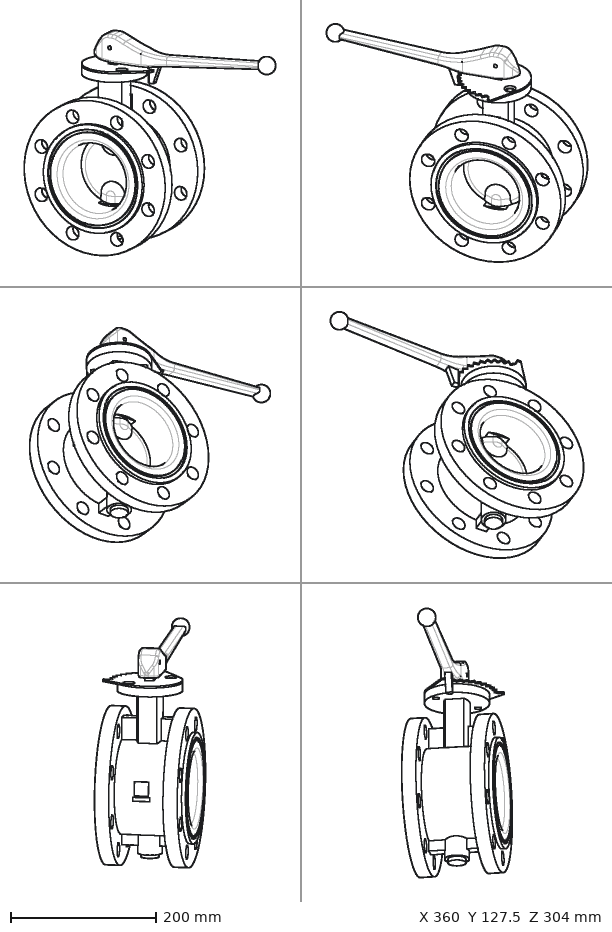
import cadquery as cq
import math


face_to_face = 127.0
half_length = face_to_face / 2
flange_dia = 220.0
flange_thickness = 20.0
raised_face_dia = 154.0
raised_face_height = 5.5
bolt_circle_dia = 180.0
bolt_hole_dia = 19.0
bolt_count = 8
barrel_radius = 67.0
bore_radius = 50.0
bore_lip_radius = 6.0
groove_outer_dia = 140.0
groove_inner_dia = 132.0
groove_depth = 3.0

flange_outer_y = half_length - raised_face_height
flange_inner_y = flange_outer_y - flange_thickness

neck_length_x = 37.0
neck_flat_width = 26.0
neck_bulge_y = 18.0
rib_width = 16.0
upper_rib_top = 97.5
lower_rib_bottom = -81.5
bearing_dia = 34.0
bearing_bottom = -93.0
bearing_cap_dia = 25.0
bearing_cap_bottom = -98.5

mount_dia = 90.0
mount_bottom = 135.0
mount_top = 147.5
plate_thickness = 2.5
plate_top = mount_top + plate_thickness
tooth_tip_radius = 57.0
tooth_root_radius = 52.0
tooth_pitch = 10.0
tooth_count = 9
plate_back_angle = 225.0
stop_reach = 64.0
stop_tip_inset = 10.0
screw_offset = 25.0
screw_hole_dia = 9.0
sink_top_dia = 16.0
sink_bottom_dia = 12.0

disc_face_radius = 43.5
disc_face_y = 4.0
disc_rim_y = 3.0
hub_foot = 25.0
hub_nose_radius = 13.0
upper_hub_center = 38.3
lower_hub_center = 36.3
hub_end_z = 47.4
seat_pad_half = 16.5

pad_height = 1.3
square_pad_width = 20.0
square_pad_bottom = 0.0
square_pad_top = 19.5
bar_pad_width = 24.0
bar_pad_bottom = -7.5
bar_pad_top = -2.0

lever_top = 194.0
lever_bottom = 153.5
head_half_width = 14.0
grip_half_width = 9.0
head_round = 14.0
head_slope = 55.0
head_flat_half = 3.3
crown_round = 17.0
crown_slope = 24.0
crown_end_x = 22.8
taper_start_x = 48.5
grip_start_x = 85.7
grip_start_top = 171.6
grip_start_bottom = 157.2
belly_start_x = 52.0
nose_x = -32.8
nose_bottom = 158.6
side_round = 15.0
side_round_start = -12.4
nose_angle = 45.0
edge_fillet = 4.0
ball_dia = 25.0
ball_x = 237.5
ball_z = 177.2
grip_end_half_height = 4.5
pin_dia = 5.0
pin_z = 175.4
stem_side = 12.0
pawl_bottom = 129.5
pawl_width = 9.0
pawl_nose_x = 52.5
pawl_body_x = 57.0
pawl_tip_x = 62.5
pawl_root_x = 72.5
pawl_root_z = 158.0
stem_overlap = 6.0


def y_cylinder(diameter, y_start, y_end):
    """Cylinder on the flow axis between two Y positions."""
    plane = cq.Workplane("XZ", origin=(0, y_start, 0))
    return plane.circle(diameter / 2).extrude(y_start - y_end)


def z_cylinder(diameter, z_start, z_end):
    """Cylinder on the stem axis between two Z positions."""
    return cq.Workplane("XY", origin=(0, 0, z_start)).circle(diameter / 2).extrude(z_end - z_start)


def block(x_range, y_range, z_range):
    """Box given by its limits along X, Y and Z."""
    size = [high - low for low, high in (x_range, y_range, z_range)]
    corner = (x_range[0], y_range[0], z_range[0])
    return cq.Workplane("XY").box(*size, centered=False).translate(corner)


def polar(radius, angle):
    """Point at a radius and an angle in degrees."""
    return (radius * math.cos(math.radians(angle)), radius * math.sin(math.radians(angle)))


def make_neck():
    """Neck with flat -X and +X sides and bulging -Y and +Y sides, started inside the barrel."""
    x = neck_length_x / 2
    y = neck_flat_width / 2
    start_z = (bore_radius + barrel_radius) / 2
    return (
        cq.Workplane("XY", origin=(0, 0, start_z))
        .moveTo(-x, -y)
        .threePointArc((0, -neck_bulge_y), (x, -y))
        .lineTo(x, y)
        .threePointArc((0, neck_bulge_y), (-x, y))
        .close()
        .extrude(mount_bottom - start_z)
    )


def make_plate():
    """Plate with a round back, two tangent sides, end stops and a toothed edge around +X +Y."""
    radius = mount_dia / 2
    stop_tip = (stop_reach, -stop_tip_inset)
    tip_distance = math.hypot(*stop_tip)
    tip_angle = math.degrees(math.atan2(stop_tip[1], stop_tip[0]))
    tangent_point = polar(radius, tip_angle - math.degrees(math.acos(radius / tip_distance)))
    stop_edge = polar(tooth_tip_radius, -tooth_pitch / 2)

    outline = cq.Workplane("XY", origin=(0, 0, mount_top)).moveTo(*tangent_point)
    outline = outline.lineTo(*stop_tip).lineTo(stop_reach, stop_edge[1]).lineTo(*stop_edge)
    for tooth in range(tooth_count + 1):
        root_angle = tooth * tooth_pitch
        outline = outline.lineTo(*polar(tooth_root_radius, root_angle))
        outline = outline.lineTo(*polar(tooth_tip_radius, root_angle + tooth_pitch / 2))
    outline = outline.lineTo(stop_edge[1], stop_reach).lineTo(-stop_tip_inset, stop_reach)
    outline = outline.lineTo(tangent_point[1], tangent_point[0])
    outline = outline.threePointArc(polar(radius, plate_back_angle), tangent_point)
    return cut_screw_holes(outline.close().extrude(plate_thickness))


def cut_screw_holes(body):
    """Cut the two countersunk screw holes of the plate and mounting flange out of a body."""
    for x, y in ((-screw_offset, screw_offset), (screw_offset, -screw_offset)):
        hole = z_cylinder(screw_hole_dia, mount_bottom, mount_top).translate((x, y, 0))
        sink = cq.Solid.makeCone(
            sink_bottom_dia / 2, sink_top_dia / 2, plate_thickness, cq.Vector(x, y, mount_top)
        )
        body = body.cut(hole).cut(cq.Workplane(sink))
    return body


def make_pads():
    """Square pad and bar pad following the -X side of the barrel."""
    shell = y_cylinder(2 * (barrel_radius + pad_height), -flange_inner_y, flange_inner_y)
    x_range = (-barrel_radius - pad_height, -bore_radius - bore_lip_radius)
    square = block(
        x_range, (-square_pad_width / 2, square_pad_width / 2), (square_pad_bottom, square_pad_top)
    )
    bar = block(x_range, (-bar_pad_width / 2, bar_pad_width / 2), (bar_pad_bottom, bar_pad_top))
    return shell.intersect(square.union(bar))


def make_disc():
    """Closed disc with bevelled rim, joined to the bore around its whole edge."""
    return (
        cq.Workplane("XY")
        .moveTo(0, -disc_face_y)
        .lineTo(disc_face_radius, -disc_face_y)
        .lineTo(bore_radius, -disc_rim_y)
        .lineTo(bore_radius, disc_rim_y)
        .lineTo(disc_face_radius, disc_face_y)
        .lineTo(0, disc_face_y)
        .close()
        .revolve(360, (0, 0, 0), (0, 1, 0))
    )


def make_hub(center_z):
    """Round-nosed hub bulging from both disc faces at the top of the bore.

    Each bulge is half a cone about Y, run out along Z as a prism to a flat seat pad."""
    tangent_angle = math.degrees(math.acos(hub_nose_radius / hub_foot))
    tangent_x, tangent_y = polar(hub_nose_radius, tangent_angle)
    plane = cq.Workplane("XY", origin=(0, 0, center_z))
    prism = (
        plane.moveTo(-hub_foot, 0)
        .lineTo(-tangent_x, -tangent_y)
        .threePointArc((0, -hub_nose_radius), (tangent_x, -tangent_y))
        .lineTo(hub_foot, 0)
        .lineTo(tangent_x, tangent_y)
        .threePointArc((0, hub_nose_radius), (-tangent_x, tangent_y))
        .close()
        .extrude(hub_end_z - center_z)
    )
    cone = (
        plane.moveTo(0, -hub_nose_radius)
        .threePointArc(polar(hub_nose_radius, -(90 + tangent_angle) / 2), (tangent_x, -tangent_y))
        .lineTo(hub_foot, 0)
        .lineTo(tangent_x, tangent_y)
        .threePointArc(polar(hub_nose_radius, (90 + tangent_angle) / 2), (0, hub_nose_radius))
        .close()
        .revolve(360, (0, 0, 0), (0, 1, 0))
    )
    pad_span = (-seat_pad_half, seat_pad_half)
    seat_pad = block(pad_span, pad_span, (hub_end_z, bore_radius + bore_lip_radius))
    return prism.union(cone).union(seat_pad)


def make_groove(side):
    """Sealing groove in the raised face at the +Y or -Y end."""
    floor_y = side * (half_length - groove_depth)
    ring = y_cylinder(groove_outer_dia, floor_y, side * half_length)
    return ring.cut(y_cylinder(groove_inner_dia, floor_y, side * half_length))


def make_housing():
    """Flanged housing with neck, mounting flange and closed disc."""
    shell = y_cylinder(2 * barrel_radius, -half_length, half_length)
    shell = shell.union(y_cylinder(raised_face_dia, -half_length, -flange_inner_y))
    shell = shell.union(y_cylinder(raised_face_dia, flange_inner_y, half_length))
    for side in (-1, 1):
        shell = shell.union(y_cylinder(flange_dia, side * flange_inner_y, side * flange_outer_y))
        shell = shell.cut(make_groove(side))
    for index in range(bolt_count):
        x, z = polar(bolt_circle_dia / 2, (index + 0.5) * 360 / bolt_count)
        hole = y_cylinder(bolt_hole_dia, -flange_outer_y, flange_outer_y).translate((x, 0, z))
        shell = shell.cut(hole)

    rib_span = (-rib_width / 2, rib_width / 2)
    rib_length = (-flange_inner_y, flange_inner_y)
    solid = shell.union(block(rib_span, rib_length, (lower_rib_bottom, upper_rib_top)))
    solid = solid.union(make_neck())
    solid = solid.union(z_cylinder(bearing_dia, bearing_bottom, 0))
    solid = solid.union(z_cylinder(bearing_cap_dia, bearing_cap_bottom, 0))
    solid = solid.union(make_pads())

    solid = solid.cut(y_cylinder(2 * bore_radius, -half_length, half_length))
    end_rims = solid.faces("<Y or >Y").edges(cq.selectors.RadiusNthSelector(0))
    solid = end_rims.fillet(bore_lip_radius)

    upper_hub = make_hub(upper_hub_center)
    lower_hub = make_hub(lower_hub_center).mirror("XY")
    solid = solid.union(make_disc()).union(upper_hub).union(lower_hub)

    mount_flange = cut_screw_holes(z_cylinder(mount_dia, mount_bottom, mount_top))
    return solid.union(mount_flange)


def make_head_side():
    """Lever seen along Y without its ball: humped head running into a rising grip."""
    slope_x, slope_z = polar(1, head_slope)
    round_x = -head_flat_half - head_round * slope_z
    round_z = lever_top - head_round * (1 - slope_x)
    crown_x = head_flat_half + crown_round * math.sin(math.radians(crown_slope))
    crown_z = lever_top - crown_round * (1 - math.cos(math.radians(crown_slope)))
    crown_end_z = crown_z - (crown_end_x - crown_x) * math.tan(math.radians(crown_slope))
    round_mid = polar(head_round, 90 + head_slope / 2)
    crown_mid = polar(crown_round, 90 - crown_slope / 2)
    nose_top = round_z - (round_x - nose_x) * slope_z / slope_x
    grip_length = ball_x - grip_start_x
    grip_top_direction = (grip_length, ball_z + grip_end_half_height - grip_start_top)
    grip_bottom_direction = (-grip_length, grip_start_bottom - ball_z + grip_end_half_height)
    return (
        cq.Workplane("XZ", origin=(0, head_half_width, 0))
        .moveTo(nose_x, nose_bottom)
        .lineTo(nose_x, nose_top)
        .lineTo(round_x, round_z)
        .threePointArc(
            (round_mid[0] - head_flat_half, round_mid[1] + lever_top - head_round),
            (-head_flat_half, lever_top),
        )
        .lineTo(head_flat_half, lever_top)
        .threePointArc(
            (crown_mid[0] + head_flat_half, crown_mid[1] + lever_top - crown_round),
            (crown_x, crown_z),
        )
        .lineTo(crown_end_x, crown_end_z)
        .spline(
            [(grip_start_x, grip_start_top)],
            tangents=[polar(1, -crown_slope), grip_top_direction],
            includeCurrent=True,
        )
        .lineTo(ball_x, ball_z + grip_end_half_height)
        .lineTo(ball_x, ball_z - grip_end_half_height)
        .lineTo(grip_start_x, grip_start_bottom)
        .spline(
            [(belly_start_x, lever_bottom)],
            tangents=[grip_bottom_direction, (-1, 0)],
            includeCurrent=True,
        )
        .lineTo(0, lever_bottom)
        .close()
        .extrude(2 * head_half_width)
    )


def make_head_plan():
    """Lever seen along Z without its ball: pointed nose, wide head and narrower grip."""
    round_end_x = side_round_start - side_round * math.sin(math.radians(nose_angle))
    round_end_y = head_half_width - side_round * (1 - math.cos(math.radians(nose_angle)))
    round_mid_x = side_round_start - side_round * math.sin(math.radians(nose_angle / 2))
    round_mid_y = head_half_width - side_round * (1 - math.cos(math.radians(nose_angle / 2)))
    tip_x = round_end_x - round_end_y / math.tan(math.radians(nose_angle))
    taper_length = grip_start_x - taper_start_x
    taper_drop = head_half_width - grip_half_width
    taper_radius = (taper_length**2 + taper_drop**2) / (2 * taper_drop)
    taper_mid_x = grip_start_x - taper_length / 2
    taper_mid_y = grip_half_width + taper_radius - math.sqrt(taper_radius**2 - taper_length**2 / 4)
    half = (
        cq.Workplane("XY", origin=(0, 0, lever_bottom))
        .moveTo(tip_x, 0)
        .lineTo(round_end_x, round_end_y)
        .threePointArc((round_mid_x, round_mid_y), (side_round_start, head_half_width))
        .lineTo(taper_start_x, head_half_width)
        .threePointArc((taper_mid_x, taper_mid_y), (grip_start_x, grip_half_width))
        .lineTo(ball_x, grip_half_width)
        .lineTo(ball_x, 0)
        .close()
        .extrude(lever_top - lever_bottom)
    )
    return half.union(half.mirror("XZ"))


def make_pawl():
    """Locking pawl under the lever, its wedge nose reaching into a notch of the plate."""
    half = pawl_width / 2
    plan = (
        cq.Workplane("XY", origin=(0, 0, pawl_bottom))
        .moveTo(pawl_nose_x, 0)
        .lineTo(pawl_body_x, half)
        .lineTo(pawl_root_x, half)
        .lineTo(pawl_root_x, -half)
        .lineTo(pawl_body_x, -half)
        .close()
        .extrude(pawl_root_z - pawl_bottom)
    )
    side = (
        cq.Workplane("XZ", origin=(0, half, 0))
        .moveTo(pawl_nose_x, pawl_bottom)
        .lineTo(pawl_tip_x, pawl_bottom)
        .lineTo(pawl_root_x, pawl_root_z)
        .lineTo(pawl_nose_x, pawl_root_z)
        .close()
        .extrude(pawl_width)
    )
    return plan.intersect(side)


def make_lever():
    """Hand lever with ball end, locking pawl and pin hole, on its stem and notched plate."""
    lever = make_head_side().intersect(make_head_plan())
    lever = lever.edges("|Z").edges("<X").fillet(edge_fillet)
    lever = lever.edges("not (|Y or |Z)").fillet(edge_fillet)
    lever = lever.union(cq.Workplane("XY").sphere(ball_dia / 2).translate((ball_x, 0, ball_z)))
    lever = lever.union(make_pawl())
    half_stem = (-stem_side / 2, stem_side / 2)
    lever = lever.union(block(half_stem, half_stem, (plate_top, lever_bottom + stem_overlap)))
    pin = y_cylinder(pin_dia, -head_half_width, head_half_width).translate((0, 0, pin_z))
    lever = lever.cut(pin)
    return lever.union(make_plate())


housing = make_housing()
lever = make_lever()
result = cq.Compound.makeCompound([housing.val(), lever.val()])